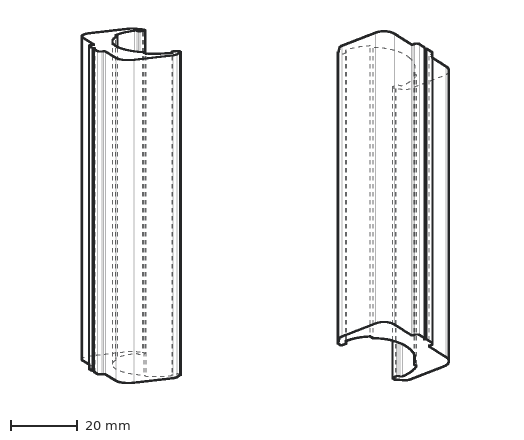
import cadquery as cq
import math

length = 100.0
width = 33.0
depth = 22.4

tongue_height = 2.0
tongue_width = 8.0
tongue_radius = 1.0
tongue_root_radius = 0.35
groove_radius = 0.5

base_radius = 4.0
lip_top = depth - tongue_height
half_width = width / 2

bore_center = 17.8
seat_radius = 12.5
relief_radius = 13.6
step_height = 10.2

lip_inner = 12.3
lip_outer = 14.0
lip_bottom = 18.3
lip_root = 17.8
lip_radius = 0.4
lip_root_radius = 0.6

shoulder_start = 16.8
shoulder_radius = 2.1
shoulder_angle = math.radians(45)


def channel_point(radius, y):
    """Point at height y on the right side of a channel circle."""
    return (math.sqrt(radius**2 - (y - bore_center) ** 2), y)


def shoulder_point(angle):
    """Point of the right shoulder arc, with the angle taken from +X."""
    return (
        half_width - shoulder_radius * (1 - math.cos(angle)),
        shoulder_start + shoulder_radius * math.sin(angle),
    )


def fillet_at(body, corner, radius):
    """Round the lengthwise edge that passes through an (x, y) corner."""
    edge = cq.selectors.NearestToPointSelector((corner[0], corner[1], length / 2))
    return body.edges("|Z").edges(edge).fillet(radius)


def half_body():
    """Right half of the body, from the middle plane to the outer side."""
    slope_x, slope_y = shoulder_point(shoulder_angle)
    slope_end_y = slope_y + (slope_x - lip_outer) * math.tan(shoulder_angle)
    lip_tip = (lip_inner, lip_bottom)
    lip_corner = (lip_inner, lip_top)
    relief_end = channel_point(relief_radius, lip_root)
    seat_bottom_y = bore_center - seat_radius

    body = (
        cq.Workplane("XY")
        .lineTo(half_width, 0)
        .lineTo(half_width, shoulder_start)
        .threePointArc(shoulder_point(shoulder_angle / 2), (slope_x, slope_y))
        .lineTo(lip_outer, slope_end_y)
        .lineTo(lip_outer, lip_top)
        .lineTo(*lip_corner)
        .lineTo(*lip_tip)
        .lineTo(*relief_end)
        .threePointArc(
            channel_point(relief_radius, (step_height + lip_root) / 2),
            channel_point(relief_radius, step_height),
        )
        .lineTo(*channel_point(seat_radius, step_height))
        .threePointArc(
            channel_point(seat_radius, (step_height + seat_bottom_y) / 2),
            (0, seat_bottom_y),
        )
        .close()
        .extrude(length)
    )
    body = fillet_at(body, (half_width, 0), base_radius)
    body = fillet_at(body, relief_end, lip_root_radius)
    for corner in (lip_tip, lip_corner):
        body = fillet_at(body, corner, lip_radius)
    return body


def tongue():
    """Rectangular bar with its two free edges rounded."""
    return (
        cq.Workplane("XY")
        .center(0, -tongue_height / 2)
        .rect(tongue_width, tongue_height)
        .extrude(length)
        .edges("|Z and <Y")
        .fillet(tongue_radius)
    )


def groove():
    """Half-round groove along the middle of the tongue."""
    return cq.Workplane("XY").center(0, -tongue_height).circle(groove_radius).extrude(length)


right_half = half_body()
result = right_half.union(right_half.mirror("YZ")).union(tongue()).clean()
for side in (-1, 1):
    result = fillet_at(result, (side * tongue_width / 2, 0), tongue_root_radius)
result = result.cut(groove())